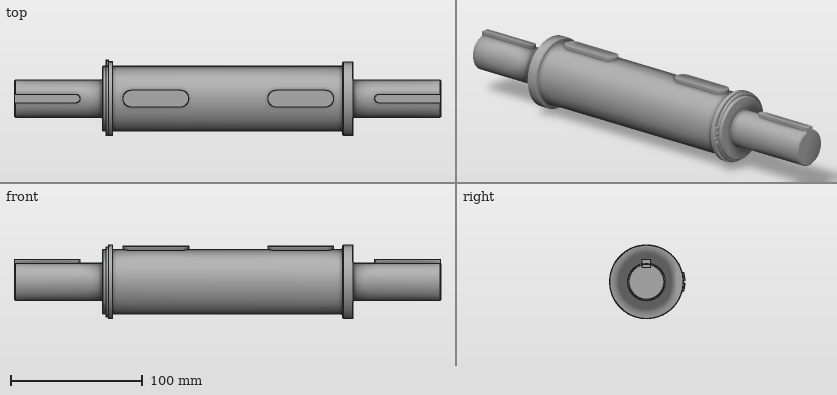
import cadquery as cq

journal_radius = 14.25
barrel_radius = 24.6
collar_radius = 28.0
journal_length = 67.0
barrel_length = 182.2
collar_length = 8.0
journal_chamfer = 1.0
barrel_chamfer = 0.4
collar_chamfer = 0.8
shoulder_fillet = 1.0

barrel_start = journal_length
collar_start = barrel_start + barrel_length
collar_end = collar_start + collar_length
shaft_length = collar_end + journal_length

clip_thickness = 2.0
clip_inset = 2.7
clip_start = barrel_start + clip_inset
clip_inner_radius = 23.5
clip_outer_radius = 26.6
clip_eccentricity = collar_radius - clip_outer_radius
lug_reach = 29.25
lug_half_width = 7.0
lug_gap = 1.6
lug_hole_diameter = 2.5
lug_hole_y = 26.6
lug_hole_z = 3.8

washer_thickness = 3.0
washer_start = clip_start + clip_thickness
washer_radius = collar_radius

key_length = 50.0
journal_key_width = 6.35
journal_key_height = 6.0
journal_key_top = 17.0
barrel_key_width = 12.7
barrel_key_height = 8.0
barrel_key_top = 27.0
right_key_inset = 0.5
left_journal_key_start = 0.0
right_journal_key_start = shaft_length - right_key_inset - key_length
barrel_key_inset = 15.5
first_barrel_key_start = barrel_start + barrel_key_inset
barrel_key_pitch = 110.0
barrel_key_starts = [first_barrel_key_start, first_barrel_key_start + barrel_key_pitch]


def spacer_washer():
    """Plain washer around the barrel, beside the retaining ring."""
    plane = cq.Workplane("YZ", origin=(washer_start, 0, 0))
    return plane.circle(washer_radius).circle(barrel_radius).extrude(washer_thickness)


def shaft_blank():
    """Turned shaft before the keyways are cut."""
    profile = (
        cq.Workplane("XZ")
        .moveTo(0, 0)
        .lineTo(0, journal_radius - journal_chamfer)
        .lineTo(journal_chamfer, journal_radius)
        .lineTo(barrel_start - shoulder_fillet, journal_radius)
        .radiusArc((barrel_start, journal_radius + shoulder_fillet), -shoulder_fillet)
        .lineTo(barrel_start, barrel_radius - barrel_chamfer)
        .lineTo(barrel_start + barrel_chamfer, barrel_radius)
        .lineTo(clip_start, barrel_radius)
        .lineTo(clip_start, clip_inner_radius)
        .lineTo(clip_start + clip_thickness, clip_inner_radius)
        .lineTo(clip_start + clip_thickness, barrel_radius)
        .lineTo(collar_start - shoulder_fillet, barrel_radius)
        .radiusArc((collar_start, barrel_radius + shoulder_fillet), -shoulder_fillet)
        .lineTo(collar_start, collar_radius - collar_chamfer)
        .lineTo(collar_start + collar_chamfer, collar_radius)
        .lineTo(collar_end, collar_radius)
        .lineTo(collar_end, journal_radius + shoulder_fillet)
        .radiusArc((collar_end + shoulder_fillet, journal_radius), -shoulder_fillet)
        .lineTo(shaft_length - journal_chamfer, journal_radius)
        .lineTo(shaft_length, journal_radius - journal_chamfer)
        .lineTo(shaft_length, 0)
        .close()
    )
    return profile.revolve(360, (0, 0, 0), (1, 0, 0))


def barrel_key(start):
    """Parallel key with two round ends."""
    return (
        cq.Workplane("XY", origin=(start + key_length / 2, 0, barrel_key_top - barrel_key_height))
        .slot2D(key_length, barrel_key_width)
        .extrude(barrel_key_height)
    )


def journal_key(start, round_side):
    """Parallel key with one square end; round_side is 1 to round the +X end, -1 to round the -X end."""
    radius = journal_key_width / 2
    middle = start + key_length / 2
    square_x = middle - round_side * key_length / 2
    tip_x = middle + round_side * key_length / 2
    arc_x = tip_x - round_side * radius
    return (
        cq.Workplane("XY", origin=(0, 0, journal_key_top - journal_key_height))
        .moveTo(square_x, -radius)
        .lineTo(arc_x, -radius)
        .threePointArc((tip_x, 0), (arc_x, radius))
        .lineTo(square_x, radius)
        .close()
        .extrude(journal_key_height)
    )


def retaining_ring():
    """Eccentric ring, widest at -Y, open at +Y between two drilled lugs."""
    plane = cq.Workplane("YZ", origin=(clip_start, 0, 0))
    body = plane.center(-clip_eccentricity, 0).circle(clip_outer_radius).extrude(clip_thickness)
    lug_block = plane.center(lug_reach / 2, 0).rect(lug_reach, 2 * lug_half_width).extrude(clip_thickness)
    lugs = plane.circle(lug_reach).extrude(clip_thickness).intersect(lug_block)
    bore = plane.circle(clip_inner_radius).extrude(clip_thickness)
    gap = plane.center(lug_reach / 2, 0).rect(lug_reach, lug_gap).extrude(clip_thickness)
    holes = (
        plane.pushPoints([(lug_hole_y, -lug_hole_z), (lug_hole_y, lug_hole_z)])
        .circle(lug_hole_diameter / 2)
        .extrude(clip_thickness)
    )
    return body.union(lugs).cut(bore).cut(gap).cut(holes)


keys = [barrel_key(start) for start in barrel_key_starts]
keys.append(journal_key(left_journal_key_start, 1))
keys.append(journal_key(right_journal_key_start, -1))

shaft = shaft_blank()
for key in keys:
    shaft = shaft.cut(key)

clip = retaining_ring()
washer = spacer_washer()

result = cq.Compound.makeCompound([shaft.val(), clip.val(), washer.val(), *[key.val() for key in keys]])